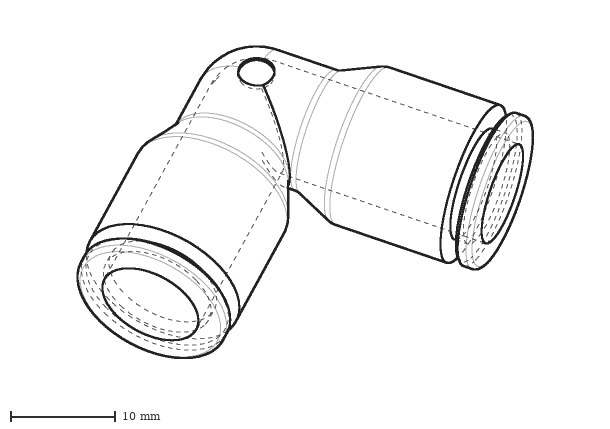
import cadquery as cq
import math

overall_length = 33.65
body_diameter = 16.0
body_radius = body_diameter / 2
reach = overall_length - body_radius

neck_radius = 6.12
cone_start = 6.53
cone_end = 10.77
body_end = 22.65
cone_blend_radius = 1.55

stem_radius = 5.62
flange_radius = 7.77
flange_thickness = 1.65
back_chamfer = 0.35
front_round = 0.45
flange_start = reach - flange_thickness

bore_radius = 5.0

recess_radius = 1.75
recess_depth = 0.57

arm_turns = (0, -90)


def arm_outside():
    """Neck, blended cone, body, stem and flange with a chamfered back and rounded front along +X."""
    slope = math.atan2(body_radius - neck_radius, cone_end - cone_start)
    tangent = cone_blend_radius * math.tan(slope / 2)
    along = tangent * math.cos(slope)
    across = tangent * math.sin(slope)
    profile = (
        cq.Workplane("XY")
        .lineTo(0, neck_radius)
        .lineTo(cone_start - tangent, neck_radius)
        .tangentArcPoint((cone_start + along, neck_radius + across), relative=False)
        .lineTo(cone_end - along, body_radius - across)
        .tangentArcPoint((cone_end + tangent, body_radius), relative=False)
        .lineTo(body_end, body_radius)
        .lineTo(body_end, stem_radius)
        .lineTo(flange_start, stem_radius)
        .lineTo(flange_start, flange_radius - back_chamfer)
        .lineTo(flange_start + back_chamfer, flange_radius)
        .lineTo(reach - front_round, flange_radius)
        .tangentArcPoint((reach, flange_radius - front_round), relative=False)
        .lineTo(reach, 0)
        .close()
    )
    return profile.revolve(360, (0, 0, 0), (1, 0, 0))


def arm_bore():
    """Straight bore along +X from the elbow centre to the open end."""
    return cq.Workplane("YZ").circle(bore_radius).extrude(reach)


def elbow(arm, corner_radius):
    """Join one copy of the arm per direction with a ball at the corner."""
    joined = cq.Workplane("XY").sphere(corner_radius)
    for turn in arm_turns:
        joined = joined.union(arm.rotate((0, 0, 0), (0, 0, 1), turn))
    return joined


def top_recess():
    """Flat-bottomed round recess over the elbow centre."""
    floor = neck_radius - recess_depth
    return cq.Workplane("XY").workplane(offset=floor).circle(recess_radius).extrude(recess_depth)


outside = elbow(arm_outside(), neck_radius)
inside = elbow(arm_bore(), bore_radius)
result = outside.cut(inside).cut(top_recess())